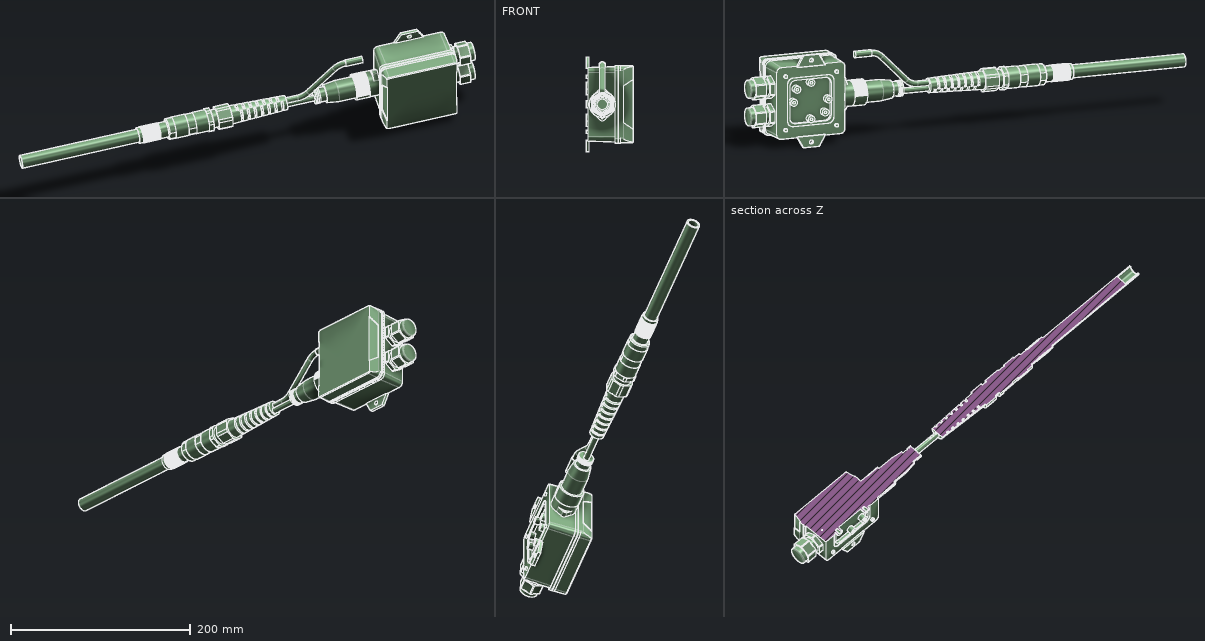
import math

import cadquery as cq

TOTAL_DEPTH = 53.0
TOTAL_LENGTH = 526.84
TOTAL_HEIGHT = 106.0
AXIS_X = 18.2
GLAND_END_Y = 69.7
HOSE_END_Y = GLAND_END_Y - TOTAL_LENGTH

BODY_BACK_X = 2.0
LIP_X = 32.5
SEAM_X = 35.5
SKIRT_END_X = 38.7
SLOPE_START_X = 41.7
BACK_SIZE = 82.5
BODY_SIZE = 84.5
SKIRT_SIZE = 87.0
LID_HEIGHT = 86.4
CORNER_RADIUS = 5.5
SEAM_GROOVE_WIDTH = 0.6
SEAM_GROOVE_DEPTH = 0.5
LID_SIDE_SLOPE = 2.5
LID_EDGE_CHAMFER = 1.0
GRIP_INNER_HALF = 20.5
GRIP_OUTER_HALF = 28.0
GRIP_DEPTH = 0.8

EAR_THICKNESS = 3.5
EAR_ROOT_WIDTH = 34.0
EAR_TIP_WIDTH = 19.0
EAR_ROOT_Z = 40.0
EAR_HOLE_Z = 47.0
EAR_HOLE_DIAMETER = 4.5

RECESS_SIZE = 56.0
RECESS_FLOOR_SIZE = 50.0
RECESS_STEP_DEPTH = 0.6
RECESS_DEPTH = 4.0
RECESS_RADIUS = 7.0
BOSS_DIAMETER = 8.0
BOSS_HOLE_DIAMETER = 3.0
BOSS_OFFSET = 21.0
SCREW_BOSS_Y = 17.0
SCREW_BOSS_Z = 14.6
PIN_DIAMETER = 4.0
PIN_OFFSET = 30.8

GLAND_PITCH = 32.0
GLAND_FLATS = 23.0
GLAND_CORNERS = 25.8
GLAND_NECK_DIAMETER = 19.0
GLAND_FLANGE_END_Y = 47.0
GLAND_NUT_START_Y = 51.8
GLAND_NUT_END_Y = 63.7
GLAND_CAP_DIAMETER = 20.6
GLAND_CAP_ROUNDING = 0.8

FLANGE_END_Y = -48.0
SOCKET_DIAMETER = 29.0
FLANGE_HUB_DIAMETER = 28.4
FLANGE_LUG_Z = 15.2
FLANGE_LUG_RADIUS = 3.4
FLANGE_HOLE_DIAMETER = 2.0
SOCKET_END_Y = -54.3
RING_END_Y = -69.5
RING_DIAMETER = 29.5
RING_GROOVE_SPACES = 20
RING_GROOVE_WIDTH = 1.2
RING_GROOVE_DEPTH = 0.6
PLUG_DIAMETER = 24.4
PLUG_TAPER_START_Y = -89.5
PLUG_TAPER_END_Y = -103.0
PLUG_TAPER_DIAMETER = 20.6
PLUG_TAIL_DIAMETER = 16.5
PLUG_COLLAR_START_Y = -110.0
PLUG_COLLAR_DIAMETER = 18.0
PLUG_END_Y = -115.5

CABLE_DIAMETER = 6.5
BRANCH_END_Y = -59.5
BRANCH_Z = 43.9
BRANCH_STRAIGHT_END_Y = -79.2
BRANCH_BEND_RADIUS = 18.0
BRANCH_SLEEVE_DIAMETER = 7.6

RELIEF_START_Y = -148.5
RELIEF_START_DIAMETER = 16.5
RELIEF_END_DIAMETER = 21.0
RELIEF_CORE_DIAMETER = 13.5
RELIEF_COLLAR_LENGTH = 4.5
RELIEF_SLOT_PITCH = 7.94
RELIEF_SLOT_WIDTH = 2.2
RELIEF_SLOT_COUNT = 7
RELIEF_NARROW_SPAN = 130.0
RELIEF_NARROW_MIDDLE = 135.0
RELIEF_WIDE_SPAN = 220.0
RELIEF_WIDE_MIDDLE = -45.0

NUT_START_Y = -213.5
NUT_END_Y = -229.5
NUT_FLATS = 24.5
NUT_CORNERS = 26.5
NECK_END_Y = -235.5
NECK_DIAMETER = 20.6
FLANGE_NUT_END_Y = -241.0
SLEEVE_DIAMETER = 24.5
FLATS_START_Y = -255.5
FLATS_END_Y = -264.5
FLATS_WIDTH = 22.2
FLATS_BAND_DIAMETER = 23.9
TAIL_FLATS_START_Y = -279.5
SLEEVE_END_Y = -287.5
SLEEVE_CHAMFER = 1.5

SPIGOT_DIAMETER = 18.0
SPIGOT_END_Y = -296.5
FERRULE_DIAMETER = 19.0
FERRULE_END_Y = -317.0
FERRULE_TAIL_END_Y = -321.0
FERRULE_GROOVE_PITCH = 1.6
FERRULE_GROOVE_WIDTH = 0.8
FERRULE_GROOVE_DEPTH = 0.8
HOSE_DIAMETER = 15.0
HOSE_BORE_DIAMETER = 11.6
HOSE_BORE_DEPTH = 20.0


def along_cable(start_y, z=0.0):
    """Workplane across the cable axis whose extrusions run towards -Y."""
    return cq.Workplane("XZ", origin=(AXIS_X, start_y, z))


def cylinder(start_y, end_y, diameter, z=0.0):
    return along_cable(start_y, z).circle(diameter / 2).extrude(start_y - end_y)


def tube(start_y, end_y, outer_diameter, inner_diameter):
    ring = along_cable(start_y).circle(outer_diameter / 2).circle(inner_diameter / 2)
    return ring.extrude(start_y - end_y)


def cone(start_y, end_y, start_diameter, end_diameter):
    section = along_cable(start_y).circle(start_diameter / 2)
    return section.workplane(offset=start_y - end_y).circle(end_diameter / 2).loft()


def hexagon(start_y, end_y, flats, corners, z=0.0):
    """Hexagonal nut with flats facing +/-X and its corners turned down."""
    prism = along_cable(start_y, z).polygon(6, flats, circumscribed=True).extrude(start_y - end_y)
    return prism.intersect(cylinder(start_y, end_y, corners, z))


def rounded_block(start_x, end_x, width, height, radius):
    block = cq.Workplane("YZ", origin=(start_x, 0, 0)).rect(width, height).extrude(end_x - start_x)
    return block.edges("|X").fillet(radius)


def side_wedge(side, depth):
    """Material outside one sloping Y side of the lid, the slope set in by depth at its start."""
    half = SKIRT_SIZE / 2
    return (
        cq.Workplane("XY")
        .polyline([
            (SLOPE_START_X, side * SKIRT_SIZE),
            (SLOPE_START_X, side * (half - depth)),
            (TOTAL_DEPTH, side * (half - depth - LID_SIDE_SLOPE)),
            (TOTAL_DEPTH, side * SKIRT_SIZE),
        ])
        .close()
        .extrude(half, both=True)
    )


def lid_side_cut(side):
    """Slope of one Y side of the lid, with its shallow trapezoidal grip."""
    grip_outline = (
        cq.Workplane("XZ")
        .polyline([
            (SLOPE_START_X, -GRIP_INNER_HALF),
            (TOTAL_DEPTH, -GRIP_OUTER_HALF),
            (TOTAL_DEPTH, GRIP_OUTER_HALF),
            (SLOPE_START_X, GRIP_INNER_HALF),
        ])
        .close()
        .extrude(SKIRT_SIZE, both=True)
    )
    return side_wedge(side, 0).union(grip_outline.intersect(side_wedge(side, GRIP_DEPTH)))


def make_box():
    depth = LIP_X - BODY_BACK_X
    draft = math.degrees(math.atan((BODY_SIZE - BACK_SIZE) / 2 / depth))
    body = (
        cq.Workplane("YZ", origin=(BODY_BACK_X, 0, 0))
        .sketch()
        .rect(BACK_SIZE, BACK_SIZE)
        .vertices()
        .fillet(CORNER_RADIUS)
        .finalize()
        .extrude(depth, taper=-draft)
    )
    lid = rounded_block(SKIRT_END_X, TOTAL_DEPTH, SKIRT_SIZE, LID_HEIGHT, CORNER_RADIUS)
    lid = lid.faces(">X").edges().chamfer(LID_EDGE_CHAMFER)
    for side in (-1, 1):
        lid = lid.cut(lid_side_cut(side))
    skirt = rounded_block(LIP_X, SKIRT_END_X, SKIRT_SIZE, SKIRT_SIZE, CORNER_RADIUS)
    groove_end = SEAM_X + SEAM_GROOVE_WIDTH
    inner_size = SKIRT_SIZE - 2 * SEAM_GROOVE_DEPTH
    seam = rounded_block(SEAM_X, groove_end, SKIRT_SIZE, SKIRT_SIZE, CORNER_RADIUS).cut(
        rounded_block(SEAM_X, groove_end, inner_size, inner_size, CORNER_RADIUS)
    )
    return body.union(skirt.cut(seam)).union(lid)


def make_ears():
    tip = TOTAL_HEIGHT / 2
    root_half = EAR_ROOT_WIDTH / 2
    tip_half = EAR_TIP_WIDTH / 2
    ear = (
        cq.Workplane("YZ")
        .polyline([
            (-root_half, EAR_ROOT_Z),
            (root_half, EAR_ROOT_Z),
            (tip_half, tip),
            (-tip_half, tip),
        ])
        .close()
        .extrude(EAR_THICKNESS)
    )
    hole = cq.Workplane("YZ").center(0, EAR_HOLE_Z).circle(EAR_HOLE_DIAMETER / 2).extrude(EAR_THICKNESS)
    ear = ear.cut(hole)
    return ear.union(ear.mirror("XY"))


def add_rear_details(box):
    floor_x = BODY_BACK_X + RECESS_DEPTH
    step_x = BODY_BACK_X + RECESS_STEP_DEPTH
    box = box.cut(rounded_block(BODY_BACK_X, step_x, RECESS_SIZE, RECESS_SIZE, RECESS_RADIUS))
    box = box.cut(rounded_block(step_x, floor_x, RECESS_FLOOR_SIZE, RECESS_FLOOR_SIZE, RECESS_RADIUS))
    boss_places = [
        (BOSS_OFFSET, 0),
        (-BOSS_OFFSET, 0),
        (0, BOSS_OFFSET),
        (0, -BOSS_OFFSET),
        (SCREW_BOSS_Y, SCREW_BOSS_Z),
        (-SCREW_BOSS_Y, -SCREW_BOSS_Z),
    ]
    rear = cq.Workplane("YZ")
    bosses = rear.pushPoints(boss_places).circle(BOSS_DIAMETER / 2).circle(BOSS_HOLE_DIAMETER / 2)
    box = box.union(bosses.extrude(floor_x))
    pins = rear.rect(2 * PIN_OFFSET, 2 * PIN_OFFSET, forConstruction=True).vertices()
    return box.union(pins.circle(PIN_DIAMETER / 2).extrude(BODY_BACK_X))


def make_gland(z):
    wall_y = BACK_SIZE / 2
    flange = hexagon(GLAND_FLANGE_END_Y, wall_y, GLAND_FLATS, GLAND_CORNERS, z)
    neck = cylinder(GLAND_NUT_START_Y, wall_y, GLAND_NECK_DIAMETER, z)
    nut = hexagon(GLAND_NUT_END_Y, GLAND_NUT_START_Y, GLAND_FLATS, GLAND_CORNERS, z)
    cap = cylinder(GLAND_END_Y, GLAND_NUT_START_Y, GLAND_CAP_DIAMETER, z)
    cap = cap.faces(">Y").edges().fillet(GLAND_CAP_ROUNDING)
    return flange.union(neck).union(nut).union(cap)


def make_socket():
    """Two-lug flange and the plain barrel of the socket."""
    wall_y = -BACK_SIZE / 2
    radius = FLANGE_HUB_DIAMETER / 2
    rise = math.asin((radius - FLANGE_LUG_RADIUS) / FLANGE_LUG_Z)
    tangent_x = math.cos(rise)
    tangent_z = math.sin(rise)
    hub_point = (radius * tangent_x, radius * tangent_z)
    lug_point = (FLANGE_LUG_RADIUS * tangent_x, FLANGE_LUG_Z + FLANGE_LUG_RADIUS * tangent_z)
    lug_tip = (0, FLANGE_LUG_Z + FLANGE_LUG_RADIUS)
    flange = (
        along_cable(wall_y)
        .moveTo(*hub_point)
        .lineTo(*lug_point)
        .threePointArc(lug_tip, (-lug_point[0], lug_point[1]))
        .lineTo(-hub_point[0], hub_point[1])
        .threePointArc((-radius, 0), (-hub_point[0], -hub_point[1]))
        .lineTo(-lug_point[0], -lug_point[1])
        .threePointArc((0, -lug_tip[1]), (lug_point[0], -lug_point[1]))
        .lineTo(hub_point[0], -hub_point[1])
        .threePointArc((radius, 0), hub_point)
        .close()
        .extrude(wall_y - FLANGE_END_Y)
    )
    for side in (-1, 1):
        hole = cylinder(wall_y, FLANGE_END_Y, FLANGE_HOLE_DIAMETER, side * FLANGE_LUG_Z)
        flange = flange.cut(hole)
    return flange.union(cylinder(wall_y, SOCKET_END_Y, SOCKET_DIAMETER))


def make_coupling_ring():
    """Plug ring with axial grip grooves over its upper half."""
    ring = cylinder(SOCKET_END_Y, RING_END_Y, RING_DIAMETER)
    for index in range(RING_GROOVE_SPACES + 1):
        groove = (
            along_cable(SOCKET_END_Y)
            .transformed(rotate=(0, 0, 180 * index / RING_GROOVE_SPACES))
            .center(RING_DIAMETER / 2, 0)
            .rect(2 * RING_GROOVE_DEPTH, RING_GROOVE_WIDTH)
            .extrude(SOCKET_END_Y - RING_END_Y)
        )
        ring = ring.cut(groove)
    return ring


def make_plug():
    body = cylinder(RING_END_Y, PLUG_TAPER_START_Y, PLUG_DIAMETER)
    taper = cone(PLUG_TAPER_START_Y, PLUG_TAPER_END_Y, PLUG_DIAMETER, PLUG_TAPER_DIAMETER)
    tail = cylinder(PLUG_TAPER_END_Y, PLUG_END_Y, PLUG_TAIL_DIAMETER)
    plug = make_coupling_ring().union(body).union(taper).union(tail)
    collar_width = (PLUG_COLLAR_START_Y - PLUG_END_Y) / 3
    for start_y in (PLUG_COLLAR_START_Y, PLUG_END_Y + collar_width):
        plug = plug.union(cylinder(start_y, start_y - collar_width, PLUG_COLLAR_DIAMETER))
    return plug


def make_cables():
    """Straight cable to the plug and a free cable that branches off upwards at 45 degrees."""
    low_z = -CABLE_DIAMETER / 2
    high_z = CABLE_DIAMETER / 2
    straight = cylinder(PLUG_END_Y, RELIEF_START_Y, CABLE_DIAMETER, low_z)
    bend_y = BRANCH_BEND_RADIUS * math.sin(math.pi / 4)
    bend_z = BRANCH_BEND_RADIUS * (1 - math.cos(math.pi / 4))
    slope = BRANCH_Z - high_z - 2 * bend_z
    slope_start_y = BRANCH_STRAIGHT_END_Y - bend_y
    slope_end_y = slope_start_y - slope
    path = (
        cq.Workplane("YZ", origin=(AXIS_X, 0, 0))
        .moveTo(BRANCH_END_Y, BRANCH_Z)
        .lineTo(BRANCH_STRAIGHT_END_Y, BRANCH_Z)
        .tangentArcPoint((slope_start_y, BRANCH_Z - bend_z), relative=False)
        .lineTo(slope_end_y, high_z + bend_z)
        .tangentArcPoint((slope_end_y - bend_y, high_z), relative=False)
        .lineTo(RELIEF_START_Y, high_z)
    )
    branch = along_cable(BRANCH_END_Y, BRANCH_Z).circle(CABLE_DIAMETER / 2).sweep(path)
    sleeve = cylinder(BRANCH_END_Y, BRANCH_STRAIGHT_END_Y, BRANCH_SLEEVE_DIAMETER, BRANCH_Z)
    return straight.union(branch).union(sleeve)


def relief_slot(start_y, middle_angle, span):
    """Sector of a ring around the relief core, centred on middle_angle from +X towards +Z."""
    start = along_cable(start_y).transformed(rotate=(0, 0, middle_angle - span / 2))
    reach = RELIEF_END_DIAMETER
    half_span = math.radians(span / 2)
    sector = (
        start.moveTo(0, 0)
        .lineTo(reach, 0)
        .threePointArc(
            (reach * math.cos(half_span), reach * math.sin(half_span)),
            (reach * math.cos(2 * half_span), reach * math.sin(2 * half_span)),
        )
        .close()
        .extrude(RELIEF_SLOT_WIDTH)
    )
    return sector.cut(cylinder(start_y, start_y - RELIEF_SLOT_WIDTH, RELIEF_CORE_DIAMETER))


def make_bend_relief():
    """Tapered sleeve with two sets of part-round slots, half a pitch apart on opposite sides."""
    relief = cone(RELIEF_START_Y, NUT_START_Y, RELIEF_START_DIAMETER, RELIEF_END_DIAMETER)
    first_y = RELIEF_START_Y - RELIEF_COLLAR_LENGTH
    for index in range(RELIEF_SLOT_COUNT):
        wide_y = first_y - index * RELIEF_SLOT_PITCH
        narrow_y = wide_y - RELIEF_SLOT_PITCH / 2
        relief = relief.cut(relief_slot(wide_y, RELIEF_WIDE_MIDDLE, RELIEF_WIDE_SPAN))
        relief = relief.cut(relief_slot(narrow_y, RELIEF_NARROW_MIDDLE, RELIEF_NARROW_SPAN))
    return relief


def make_inline_coupling():
    nut = hexagon(NUT_START_Y, NUT_END_Y, NUT_FLATS, NUT_CORNERS)
    neck = cylinder(NUT_END_Y, NECK_END_Y, NECK_DIAMETER)
    flange = hexagon(NECK_END_Y, FLANGE_NUT_END_Y, NUT_FLATS, NUT_CORNERS)
    sleeve = cylinder(FLANGE_NUT_END_Y, SLEEVE_END_Y, SLEEVE_DIAMETER)
    sleeve = sleeve.faces("<Y").chamfer(SLEEVE_CHAMFER)
    for start_y, end_y in ((FLATS_START_Y, FLATS_END_Y), (TAIL_FLATS_START_Y, SLEEVE_END_Y)):
        kept = along_cable(start_y).rect(FLATS_WIDTH, SLEEVE_DIAMETER).extrude(start_y - end_y)
        kept = kept.intersect(cylinder(start_y, end_y, FLATS_BAND_DIAMETER))
        sleeve = sleeve.cut(cylinder(start_y, end_y, SLEEVE_DIAMETER).cut(kept))
    return nut.union(neck).union(flange).union(sleeve)


def make_hose():
    hose = cylinder(SLEEVE_END_Y, HOSE_END_Y, HOSE_DIAMETER)
    hose = hose.union(cylinder(SLEEVE_END_Y, FERRULE_TAIL_END_Y, SPIGOT_DIAMETER))
    hose = hose.union(cylinder(SPIGOT_END_Y, FERRULE_END_Y, FERRULE_DIAMETER))
    groove_diameter = FERRULE_DIAMETER - 2 * FERRULE_GROOVE_DEPTH
    groove_count = int((SPIGOT_END_Y - FERRULE_END_Y) / FERRULE_GROOVE_PITCH)
    for index in range(groove_count):
        start_y = SPIGOT_END_Y - FERRULE_GROOVE_WIDTH - index * FERRULE_GROOVE_PITCH
        end_y = start_y - FERRULE_GROOVE_WIDTH
        hose = hose.cut(tube(start_y, end_y, FERRULE_DIAMETER, groove_diameter))
    bore = cylinder(HOSE_END_Y + HOSE_BORE_DEPTH, HOSE_END_Y, HOSE_BORE_DIAMETER)
    return hose.cut(bore)


result = add_rear_details(make_box().union(make_ears()))
for gland_z in (-GLAND_PITCH / 2, GLAND_PITCH / 2):
    result = result.union(make_gland(gland_z))
for section in (
    make_socket(),
    make_plug(),
    make_cables(),
    make_bend_relief(),
    make_inline_coupling(),
    make_hose(),
):
    result = result.union(section)